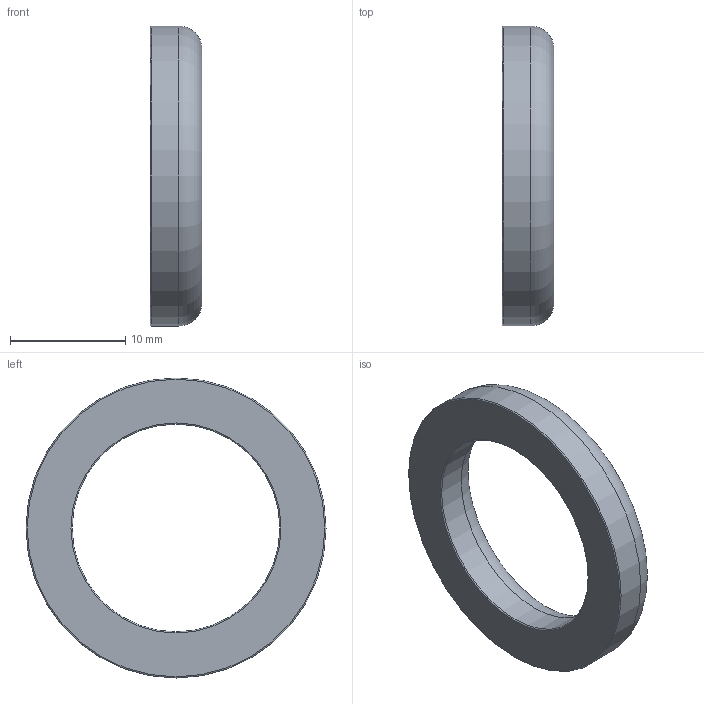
import cadquery as cq

outer_diameter = 26.0
bore_diameter = 18.0
width = 4.5
edge_break = 0.1

outer_radius = outer_diameter / 2
bore_radius = bore_diameter / 2
round_radius = (outer_radius - bore_radius) / 2
crown_radius = bore_radius + round_radius
straight_width = width - round_radius


def ring_section():
    """Wall section in the XZ plane: flat at X = 0, half-round toward +X."""
    return (
        cq.Workplane("XZ")
        .moveTo(0, bore_radius)
        .lineTo(0, outer_radius)
        .lineTo(straight_width, outer_radius)
        .threePointArc((width, crown_radius), (straight_width, bore_radius))
        .close()
    )


ring = ring_section().revolve(360, (0, 0, 0), (1, 0, 0))

result = ring.faces("<X").edges().fillet(edge_break)